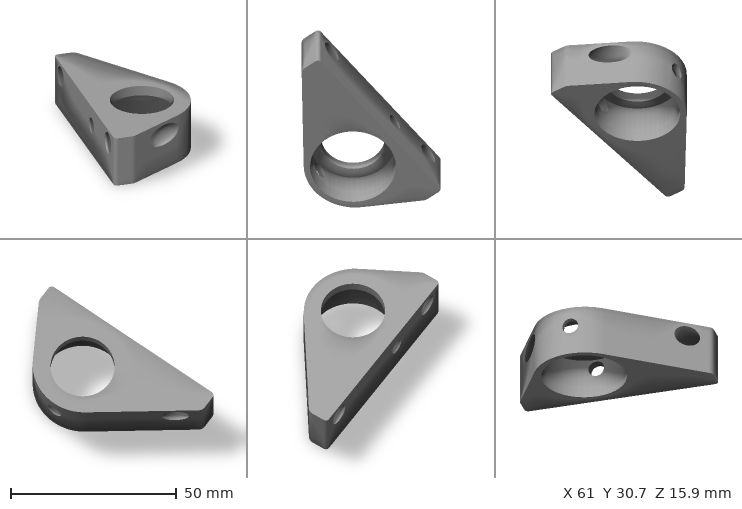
import cadquery as cq
import math

length = 60.95
height = 15.85
left_side_top = 6.45
right_side_top = 6.15
bottom_corner_radius = 1.15
slope_corner_radius = 2.45

eye_x = 37.75
eye_y = 15.1
eye_radius = 15.6

bore_y = 16.0
lip_diameter = 19.4
lip_height = 3.2
seat_diameter = 25.95

mount_hole_diameter = 6.6
mount_hole_xs = (6.6, 54.25)
mount_hole_z = 11.45
screw_hole_diameter = 4.95
screw_hole_z = 9.6


def tangent_point(x, y, side):
    """Point where a line from (x, y) touches the eye; side is +1 or -1."""
    distance = math.hypot(x - eye_x, y - eye_y)
    toward = math.atan2(y - eye_y, x - eye_x)
    angle = toward + side * math.acos(eye_radius / distance)
    return eye_x + eye_radius * math.cos(angle), eye_y + eye_radius * math.sin(angle)


def hole_along_y(x, z, diameter):
    """Cylinder from the front face through the whole depth."""
    depth = eye_y + eye_radius
    return cq.Workplane("XZ").center(x, z).circle(diameter / 2).extrude(-depth)


def make_plate():
    right_touch = tangent_point(length, right_side_top, 1)
    left_touch = tangent_point(0, left_side_top, -1)
    plate = (
        cq.Workplane("XY")
        .lineTo(length, 0)
        .lineTo(length, right_side_top)
        .lineTo(*right_touch)
        .threePointArc((eye_x, eye_y + eye_radius), left_touch)
        .lineTo(0, left_side_top)
        .close()
        .extrude(height)
    )
    low_corners = cq.selectors.BoxSelector((-0.6, -0.6, 0), (length + 0.6, 0.6, height))
    slope_corners = cq.selectors.BoxSelector((-0.6, 0.6, 0), (length + 0.6, left_side_top + 0.6, height))
    plate = plate.edges("|Z").edges(low_corners).fillet(bottom_corner_radius)
    return plate.edges("|Z").edges(slope_corners).fillet(slope_corner_radius)


def make_bore():
    through = cq.Workplane("XY").center(eye_x, bore_y).circle(lip_diameter / 2).extrude(height)
    seat = cq.Workplane("XY").center(eye_x, bore_y).circle(seat_diameter / 2).extrude(height - lip_height)
    return through.union(seat)


result = make_plate().cut(make_bore())
for mount_x in mount_hole_xs:
    result = result.cut(hole_along_y(mount_x, mount_hole_z, mount_hole_diameter))
result = result.cut(hole_along_y(eye_x, screw_hole_z, screw_hole_diameter))